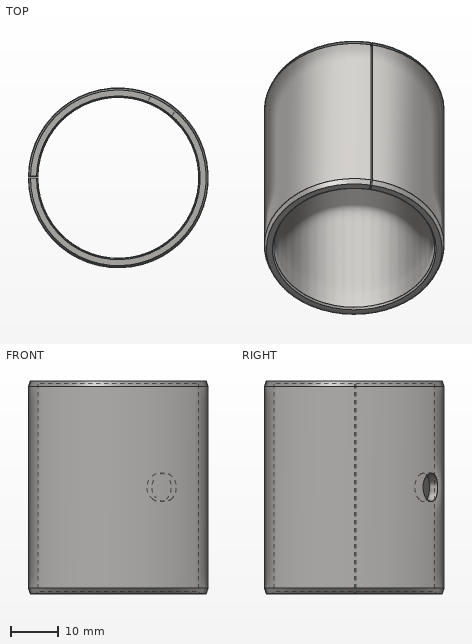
import cadquery as cq
import math

outer_diameter = 38.0
wall_thickness = 2.0
length = 45.0

outer_chamfer_length = 1.2
outer_chamfer_angle = 20.0
inner_chamfer_length = 0.5
inner_chamfer_angle = 30.0

split_start_angle = 180.0
split_angle = 1.0

oil_hole_diameter = 6.0
oil_hole_offset_from_split = 120.0
oil_hole_angle = split_start_angle - split_angle - oil_hole_offset_from_split
oil_hole_height = length / 2

outer_radius = outer_diameter / 2
inner_radius = outer_radius - wall_thickness
outer_chamfer_depth = outer_chamfer_length * math.tan(math.radians(outer_chamfer_angle))
inner_chamfer_depth = inner_chamfer_length * math.tan(math.radians(inner_chamfer_angle))


def make_split_sleeve():
    """Revolve the chamfered wall section about Z, stopping short of a full turn to leave the split."""
    section = [
        (inner_radius + inner_chamfer_depth, 0),
        (outer_radius - outer_chamfer_depth, 0),
        (outer_radius, outer_chamfer_length),
        (outer_radius, length - outer_chamfer_length),
        (outer_radius - outer_chamfer_depth, length),
        (inner_radius + inner_chamfer_depth, length),
        (inner_radius, length - inner_chamfer_length),
        (inner_radius, inner_chamfer_length),
    ]
    return (
        cq.Workplane("XZ")
        .polyline(section)
        .close()
        .revolve(360 - split_angle, (0, 0, 0), (0, 1, 0))
        .rotate((0, 0, 0), (0, 0, 1), split_start_angle)
    )


def make_oil_hole():
    """Radial cylinder from the axis out through one wall."""
    return (
        cq.Workplane("YZ")
        .center(0, oil_hole_height)
        .circle(oil_hole_diameter / 2)
        .extrude(outer_diameter)
        .rotate((0, 0, 0), (0, 0, 1), oil_hole_angle)
    )


result = make_split_sleeve().cut(make_oil_hole())